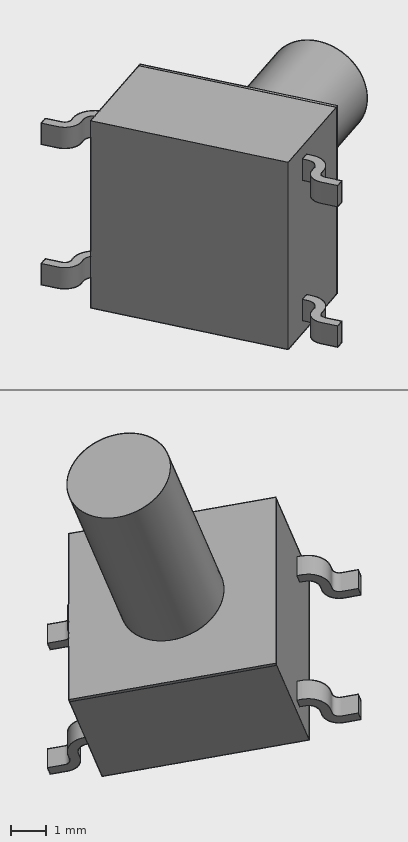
import cadquery as cq

TOTAL_HEIGHT = 9.1
BODY_SIDE = 6.0
BODY_HEIGHT = 3.5
COVER_THICKNESS = 0.1
PLUNGER_DIAMETER = 3.0

LEAD_REACH = 1.5
LEAD_THICKNESS = 0.3
LEAD_WIDTH = 0.68
LEAD_PITCH = 4.495
LEAD_TOP = 1.3
FOOT_LENGTH = 0.5
FOOT_INNER_RADIUS = 0.2
SHOULDER_INNER_RADIUS = 0.35

HOUSING_HEIGHT = BODY_HEIGHT - COVER_THICKNESS
PLUNGER_LENGTH = TOTAL_HEIGHT - BODY_HEIGHT
FOOT_OUTER_RADIUS = FOOT_INNER_RADIUS + LEAD_THICKNESS
SHOULDER_OUTER_RADIUS = SHOULDER_INNER_RADIUS + LEAD_THICKNESS


def square_block(base_y, height):
    """Square block centred on the Y axis, rising from base_y."""
    block = cq.Workplane("XY").box(BODY_SIDE, height, BODY_SIDE, centered=(True, False, True))
    return block.translate((0, base_y, 0))


def make_left_lead(center_z):
    """S-bent strip on the -X side, ending flush with the housing side."""
    side_x = -BODY_SIDE / 2
    tip_x = side_x - LEAD_REACH
    foot_end_x = tip_x + FOOT_LENGTH
    riser_outer_x = foot_end_x + FOOT_INNER_RADIUS
    riser_inner_x = riser_outer_x + LEAD_THICKNESS
    shoulder_x = riser_outer_x + SHOULDER_OUTER_RADIUS
    shoulder_y = LEAD_TOP - SHOULDER_OUTER_RADIUS
    return (
        cq.Workplane("XY", origin=(0, 0, center_z))
        .moveTo(tip_x, 0)
        .lineTo(foot_end_x, 0)
        .radiusArc((riser_inner_x, FOOT_OUTER_RADIUS), -FOOT_OUTER_RADIUS)
        .lineTo(riser_inner_x, shoulder_y)
        .radiusArc((shoulder_x, LEAD_TOP - LEAD_THICKNESS), SHOULDER_INNER_RADIUS)
        .lineTo(side_x, LEAD_TOP - LEAD_THICKNESS)
        .lineTo(side_x, LEAD_TOP)
        .lineTo(shoulder_x, LEAD_TOP)
        .radiusArc((riser_outer_x, shoulder_y), -SHOULDER_OUTER_RADIUS)
        .lineTo(riser_outer_x, FOOT_OUTER_RADIUS)
        .radiusArc((foot_end_x, LEAD_THICKNESS), FOOT_INNER_RADIUS)
        .lineTo(tip_x, LEAD_THICKNESS)
        .close()
        .extrude(LEAD_WIDTH / 2, both=True)
    )


def make_housing():
    """Housing block with its four leads."""
    housing = square_block(0, HOUSING_HEIGHT)
    for center_z in (-LEAD_PITCH / 2, LEAD_PITCH / 2):
        lead = make_left_lead(center_z)
        housing = housing.union(lead).union(lead.mirror("YZ"))
    return housing


def make_plunger():
    """Round plunger standing on the thin cover plate that closes the housing."""
    cover = square_block(HOUSING_HEIGHT, COVER_THICKNESS)
    return (
        cover.faces(">Y")
        .workplane(origin=(0, BODY_HEIGHT, 0))
        .circle(PLUNGER_DIAMETER / 2)
        .extrude(PLUNGER_LENGTH)
    )


housing = make_housing()
plunger = make_plunger()

result = cq.Compound.makeCompound([housing.val(), plunger.val()])